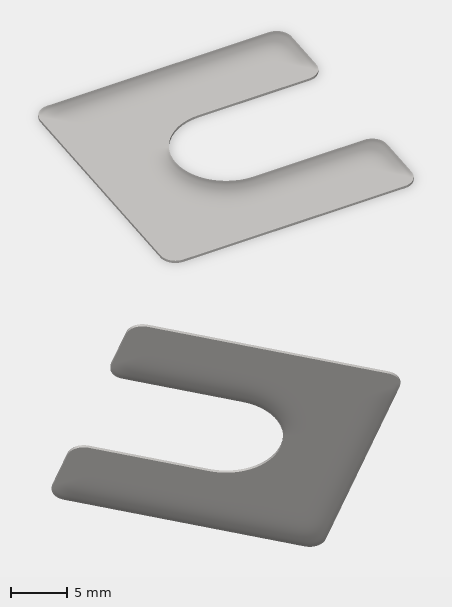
import cadquery as cq

side = 25.4
thickness = 0.25
slot_width = 10.16
corner_radius = 1.5

half_side = side / 2
slot_radius = slot_width / 2


def square_plate():
    """Square plate centred on the origin in X and Y, resting on Z = 0."""
    return cq.Workplane("XY").rect(side, side).extrude(thickness)


def open_slot():
    """Cutter for the slot: round end centred on the plate, straight out to +Y."""
    return (
        cq.Workplane("XY")
        .moveTo(-slot_radius, half_side)
        .lineTo(-slot_radius, 0)
        .threePointArc((0, -slot_radius), (slot_radius, 0))
        .lineTo(slot_radius, half_side)
        .close()
        .extrude(thickness)
    )


def round_corners(plate):
    """Round the four outer corners and the two corners at the slot mouth."""
    return plate.edges("|Z and (<Y or >Y)").fillet(corner_radius)


slotted_plate = square_plate().cut(open_slot())
result = round_corners(slotted_plate)